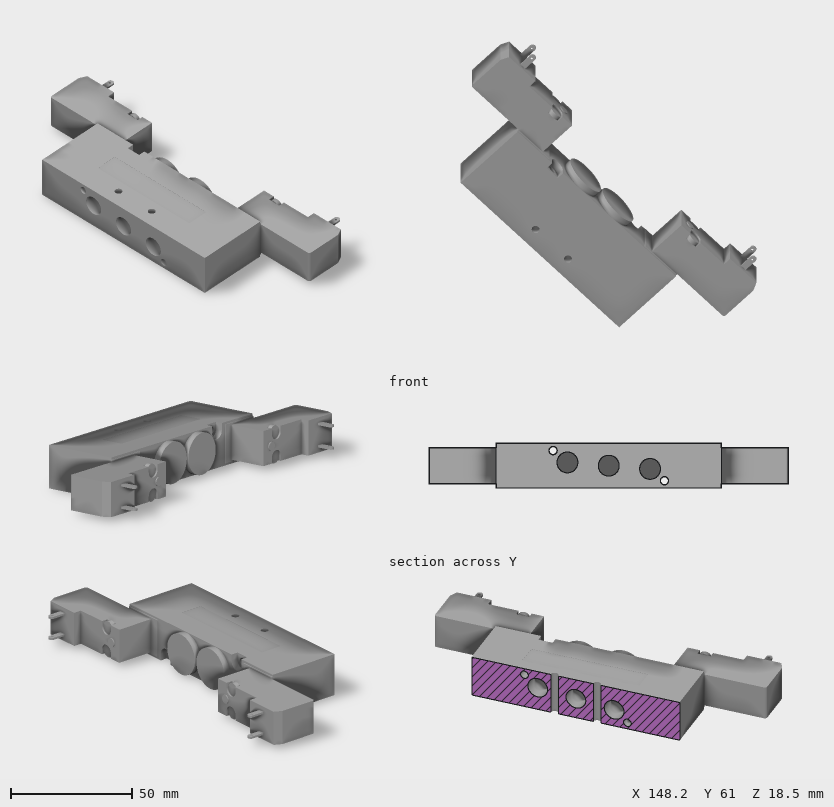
import cadquery as cq


TOTAL_LENGTH = 148.2
TOTAL_DEPTH = 61.0

BODY_LENGTH = 92.9
BODY_DEPTH = 33.0
BODY_THICKNESS = 18.5

PORT_DIAMETER = 8.6
PORT_DEPTH = 17.8
PORT_SPACING = 17.0
PORT_OFFSET = 1.3

BOSS_DIAMETER = 18.0
BOSS_HEIGHT = 3.0
BOSS_X = 9.5

SCREW_HOLE_DIAMETER = 3.3
SCREW_HOLE_X = 23.0
SCREW_HOLE_Z = 6.2
HEAD_SLOT_WIDTH = 6.4
HEAD_SLOT_DEPTH = 3.1

CROSS_HOLE_DIAMETER = 3.3
CROSS_HOLE_X = 9.5
CROSS_HOLE_Y = 7.0

LABEL_LENGTH = 52.2
LABEL_WIDTH = 10.1
LABEL_DEPTH = 0.07
LABEL_Y = 17.0

GASKET_LENGTH = 18.4
GASKET_WIDTH = 16.6
GASKET_THICKNESS = 0.5

SOLENOID_LENGTH = 42.1
SOLENOID_THICKNESS = 15.0
SOLENOID_LOW_HEIGHT = 16.9
SOLENOID_HIGH_HEIGHT = 20.5
RAISED_LENGTH = 17.0
TOP_BEVEL_LENGTH = 1.6
TOP_BEVEL_HEIGHT = 3.4
BOTTOM_CORNER_RADIUS = 1.0

SCREW_HEAD_DIAMETER = 5.8
SCREW_HEAD_HEIGHT = 2.0
SCREW_HEAD_RECESS = 2.8
SCREW_HEAD_OVERHANG = 0.6
SCREW_HEAD_INSET = 33.6

BUTTON_DIAMETER = 3.9
BUTTON_HEIGHT = 0.5
BUTTON_INSET = 37.0

TERMINAL_WIDTH = 2.7
TERMINAL_THICKNESS = 0.9
TERMINAL_TIP_RADIUS = 1.2
TERMINAL_HOLE_DIAMETER = 1.0
TERMINAL_HOLE_TO_TIP = 1.8
TERMINAL_INSET = 9.5
TERMINAL_Z = 4.7

OUTER_X = -TOTAL_LENGTH / 2
BODY_END_X = -BODY_LENGTH / 2
SOLENOID_Y = BODY_DEPTH + GASKET_THICKNESS
LOW_TOP_Y = SOLENOID_Y + SOLENOID_LOW_HEIGHT
HIGH_TOP_Y = SOLENOID_Y + SOLENOID_HIGH_HEIGHT


def box(x_start, x_end, y_start, y_end, z_start, z_end):
    return (
        cq.Workplane("XY")
        .box(x_end - x_start, y_end - y_start, z_end - z_start, centered=False)
        .translate((x_start, y_start, z_start))
    )


def cylinder_along_y(diameter, x, z, y_start, length):
    axis_start = cq.Vector(x, y_start, z)
    return cq.Workplane(cq.Solid.makeCylinder(diameter / 2, length, axis_start, cq.Vector(0, 1, 0)))


def side_slot(width, x, z, side, y_start, y_end, reach):
    """Round-ended slot centred at (x, z), open towards the given Z side."""
    round_end = cylinder_along_y(width, x, z, y_start, y_end - y_start)
    far_z = z + side * reach
    opening = box(x - width / 2, x + width / 2, y_start, y_end, min(z, far_z), max(z, far_z))
    return round_end.union(opening)


def cut_ports(body):
    for step in (-1, 0, 1):
        body = body.cut(
            cylinder_along_y(PORT_DIAMETER, step * PORT_SPACING, -step * PORT_OFFSET, 0, PORT_DEPTH)
        )
    return body


def cut_mounting_screw_holes(body):
    slot_start = BODY_DEPTH - HEAD_SLOT_DEPTH
    for side in (-1, 1):
        x = -side * SCREW_HOLE_X
        z = side * SCREW_HOLE_Z
        body = body.cut(cylinder_along_y(SCREW_HOLE_DIAMETER, x, z, 0, BODY_DEPTH))
        body = body.cut(
            side_slot(HEAD_SLOT_WIDTH, x, z, side, slot_start, BODY_DEPTH, BODY_THICKNESS / 2)
        )
    return body


def cut_cross_holes(body):
    holes = (
        cq.Workplane("XY")
        .pushPoints([(-CROSS_HOLE_X, CROSS_HOLE_Y), (CROSS_HOLE_X, CROSS_HOLE_Y)])
        .circle(CROSS_HOLE_DIAMETER / 2)
        .extrude(BODY_THICKNESS / 2, both=True)
    )
    return body.cut(holes)


def cut_label_panel(body):
    panel = (
        cq.Workplane("XY", origin=(0, LABEL_Y, BODY_THICKNESS / 2))
        .rect(LABEL_LENGTH, LABEL_WIDTH)
        .extrude(-LABEL_DEPTH)
    )
    return body.cut(panel)


def add_bosses(body):
    for x in (-BOSS_X, BOSS_X):
        body = body.union(cylinder_along_y(BOSS_DIAMETER, x, 0, BODY_DEPTH, BOSS_HEIGHT))
    return body


def make_body():
    half_thickness = BODY_THICKNESS / 2
    body = box(BODY_END_X, -BODY_END_X, 0, BODY_DEPTH, -half_thickness, half_thickness)
    body = cut_ports(body)
    body = cut_mounting_screw_holes(body)
    body = cut_cross_holes(body)
    body = cut_label_panel(body)
    return add_bosses(body)


def make_left_gasket():
    half_width = GASKET_WIDTH / 2
    return box(
        BODY_END_X, BODY_END_X + GASKET_LENGTH, BODY_DEPTH, SOLENOID_Y, -half_width, half_width
    )


def make_solenoid_block():
    inner_x = OUTER_X + SOLENOID_LENGTH
    step_x = OUTER_X + RAISED_LENGTH
    return (
        cq.Workplane("XY")
        .moveTo(OUTER_X, SOLENOID_Y)
        .lineTo(inner_x, SOLENOID_Y)
        .lineTo(inner_x, LOW_TOP_Y)
        .lineTo(step_x, LOW_TOP_Y)
        .lineTo(step_x, HIGH_TOP_Y)
        .lineTo(OUTER_X + TOP_BEVEL_LENGTH, HIGH_TOP_Y)
        .lineTo(OUTER_X, HIGH_TOP_Y - TOP_BEVEL_HEIGHT)
        .close()
        .extrude(SOLENOID_THICKNESS / 2, both=True)
        .edges("|Z and <Y and <X")
        .fillet(BOTTOM_CORNER_RADIUS)
    )


def add_screw_heads(solenoid):
    x = OUTER_X + SCREW_HEAD_INSET
    recess_floor = LOW_TOP_Y - SCREW_HEAD_RECESS
    head_z = SOLENOID_THICKNESS / 2 + SCREW_HEAD_OVERHANG - SCREW_HEAD_DIAMETER / 2
    for side in (-1, 1):
        z = side * head_z
        solenoid = solenoid.cut(
            side_slot(SCREW_HEAD_DIAMETER, x, z, side, recess_floor, LOW_TOP_Y, SCREW_HEAD_DIAMETER)
        )
        solenoid = solenoid.union(
            cylinder_along_y(SCREW_HEAD_DIAMETER, x, z, recess_floor, SCREW_HEAD_HEIGHT)
        )
    return solenoid


def add_button(solenoid):
    return solenoid.union(
        cylinder_along_y(BUTTON_DIAMETER, OUTER_X + BUTTON_INSET, 0, LOW_TOP_Y, BUTTON_HEIGHT)
    )


def make_terminal():
    """Flat blade with a rounded tip and a small hole, centred on Z = 0."""
    x = OUTER_X + TERMINAL_INSET
    half_width = TERMINAL_WIDTH / 2
    half_thickness = TERMINAL_THICKNESS / 2
    blade = box(
        x - half_width, x + half_width, HIGH_TOP_Y, TOTAL_DEPTH, -half_thickness, half_thickness
    )
    blade = blade.edges("|Z and >Y").fillet(TERMINAL_TIP_RADIUS)
    hole = (
        cq.Workplane("XY", origin=(x, TOTAL_DEPTH - TERMINAL_HOLE_TO_TIP, 0))
        .circle(TERMINAL_HOLE_DIAMETER / 2)
        .extrude(half_thickness, both=True)
    )
    return blade.cut(hole)


def make_left_solenoid():
    solenoid = make_solenoid_block()
    solenoid = add_screw_heads(solenoid)
    solenoid = add_button(solenoid)
    for z in (-TERMINAL_Z, TERMINAL_Z):
        solenoid = solenoid.union(make_terminal().translate((0, 0, z)))
    return solenoid


def with_mirror_copy(left):
    """The left-hand solid and its mirror image at the right-hand end."""
    return [left.val(), left.mirror("YZ").val()]


body = make_body()
gaskets = with_mirror_copy(make_left_gasket())
solenoids = with_mirror_copy(make_left_solenoid())

result = cq.Compound.makeCompound([body.val(), *gaskets, *solenoids])